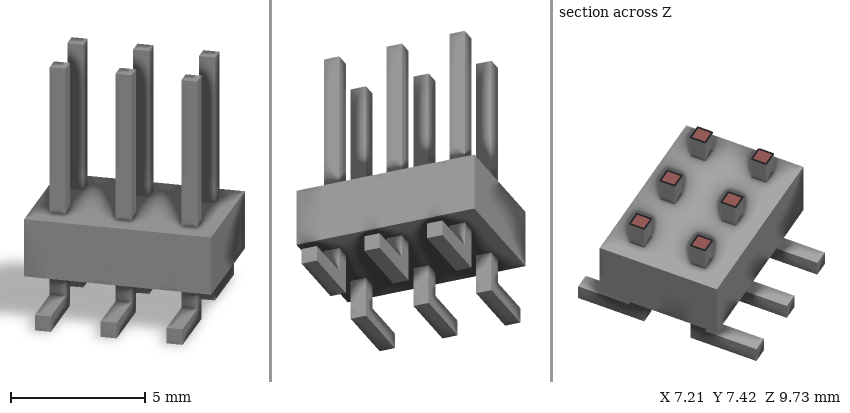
import cadquery as cq

columns = 3
pitch = 2.54
pin_width = 0.62

body_length = 7.21
body_depth = 4.88
body_height = 2.29

pin_above_body = 5.84
overall_height = 9.73
feet_span = 7.42

board_z = 0.0
body_bottom_z = overall_height - pin_above_body - body_height
row_y = pitch / 2


def make_body():
    """Rectangular block that carries all the pins."""
    return (
        cq.Workplane("XY")
        .workplane(offset=body_bottom_z)
        .rect(body_length, body_depth)
        .extrude(body_height)
    )


def make_pin(x, side):
    """L-shaped square pin; side is -1 or +1, the Y direction its foot points."""
    inner_y = side * (row_y - pin_width / 2)
    outer_y = side * (row_y + pin_width / 2)
    toe_y = side * feet_span / 2
    foot_top_z = board_z + pin_width
    return (
        cq.Workplane("YZ")
        .workplane(offset=x - pin_width / 2)
        .moveTo(inner_y, board_z)
        .lineTo(toe_y, board_z)
        .lineTo(toe_y, foot_top_z)
        .lineTo(outer_y, foot_top_z)
        .lineTo(outer_y, overall_height)
        .lineTo(inner_y, overall_height)
        .close()
        .extrude(pin_width)
    )


result = make_body()
for column in range(columns):
    column_x = (column - (columns - 1) / 2) * pitch
    for foot_side in (-1, 1):
        result = result.union(make_pin(column_x, foot_side))